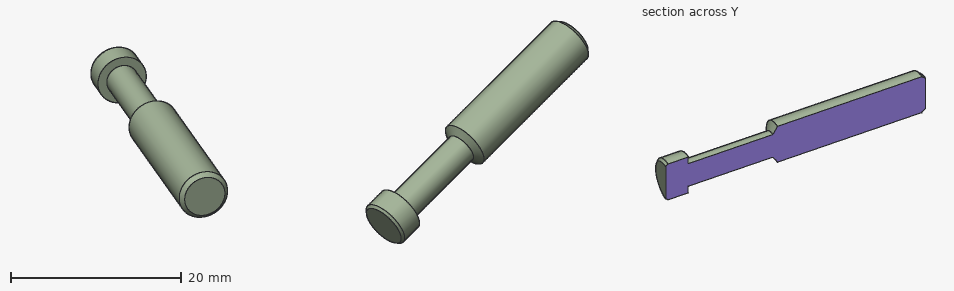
import cadquery as cq

length = 34.0
outer_radius = 3.0

head_length = 3.0
head_chamfer = 0.3

neck_radius = 1.9

body_start = 14.0
shoulder_length = 0.6
tip_chamfer = 0.5

profile = [
    (0, 0),
    (0, outer_radius - head_chamfer),
    (head_chamfer, outer_radius),
    (head_length, outer_radius),
    (head_length, neck_radius),
    (body_start, neck_radius),
    (body_start + shoulder_length, outer_radius),
    (length - tip_chamfer, outer_radius),
    (length, outer_radius - tip_chamfer),
    (length, 0),
]

pin = cq.Workplane("XY").polyline(profile).close().revolve(360, (0, 0, 0), (1, 0, 0))
result = pin.translate((-length / 2, 0, 0))